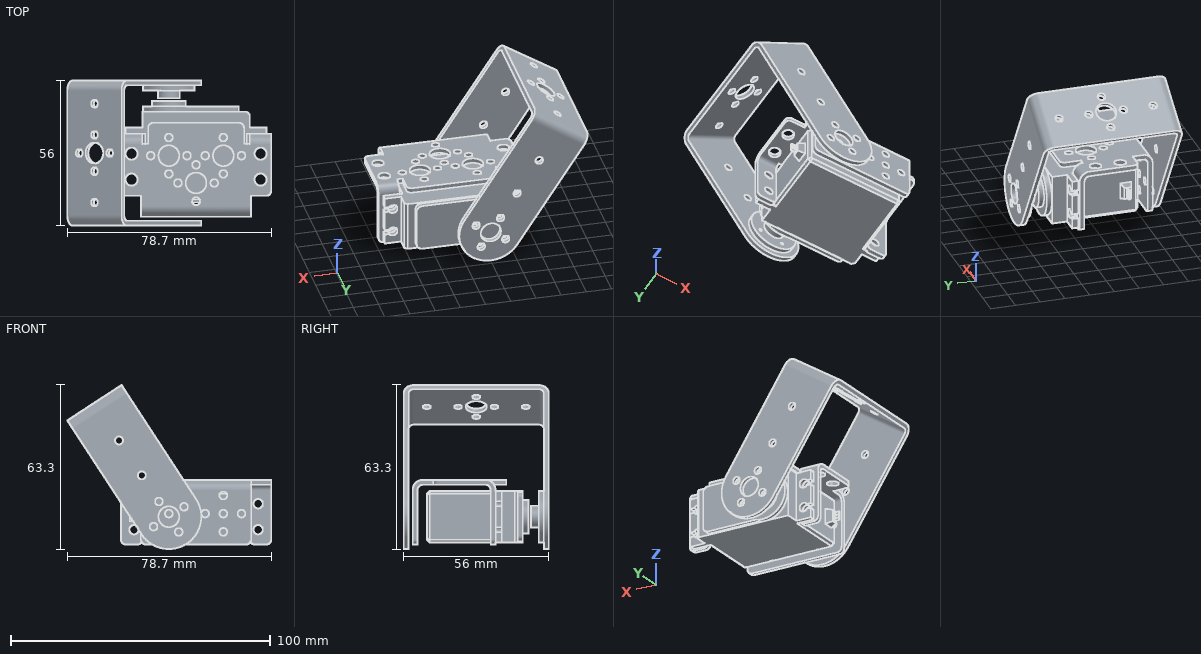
import cadquery as cq


sheet = 2.0
bend_outer = 2 * sheet
corner_radius = 2.0
small_hole = 3.0
ring_hole = 8.0
ring_offset = 7.0

swing_angle = 33.15
swing_width = 56.0
arm_radius = 12.5
arm_length = 52.5
arm_hole_heights = (19.05, 35.1)
web_outer_hole = 19.05
arm_outer_y = swing_width / 2
arm_inner_y = arm_outer_y - sheet

ring_spacing = 21.0
servo_x = ring_spacing / 2
servo_half_length = 20.7
servo_half_height = 10.0
servo_chamfer = 1.1
servo_end_y = -19.05
seat_y = 7.5
ear_thickness = 2.4
ear_half_length = 27.15
ear_hole_x = 23.9
ear_hole = 3.55
ear_slot = 2.0
screw_spacing = 10.0
case_top_y = 16.0
cover_thickness = 2.05
cover_end_x = 27.0
cover_half_height = 9.5
cover_corner_radius = 2.2
boss_radius = 6.5
boss_thickness = 2.1

connector_y = -13.8
connector_width = 4.4
connector_height = 6.45
connector_taper = 0.9
connector_length = 2.8
pin_diameter = 1.0
pin_spacing = 1.25
pin_count = 3
pin_tip_x = -15.1

horn_radius = servo_half_height
horn_thickness = 2.0
horn_shaft_radius = 4.25
horn_screw_hole = 1.0
horn_end_y = 21.1

mount_top_z = 14.25
mount_bottom_z = -10.8
mount_length = 58.0
mount_front_y = -24.55
mount_half_length = mount_length / 2
leg_half_width = 21.25
wing_end_y = -16.5
tongue_half_width = 18.5
tongue_end_y = 11.65
wing_hole = 4.6
wing_hole_x = 24.9
wing_hole_y = -0.2
top_ring_y = -1.0
leg_ring_z = 1.2


def cylinder_y(x, z, diameter, y_start, y_end):
    """Solid cylinder along Y between two Y positions."""
    plane = cq.Plane(origin=(x, y_start, z), xDir=(0, 0, 1), normal=(0, 1, 0))
    return cq.Workplane(plane).circle(diameter / 2).extrude(y_end - y_start)


def cylinder_z(x, y, diameter, z_start, z_end):
    """Solid cylinder along Z between two heights."""
    return cq.Workplane("XY", origin=(x, y, z_start)).circle(diameter / 2).extrude(z_end - z_start)


def box_between(x_range, y_range, z_range):
    """Axis-aligned box from its (start, end) pair on each axis."""
    sizes = [end - start for start, end in (x_range, y_range, z_range)]
    corner = (x_range[0], y_range[0], z_range[0])
    return cq.Workplane("XY").box(*sizes, centered=False).translate(corner)


def cross_points(u, v):
    """Four points at the ring offset around a centre."""
    return [(u - ring_offset, v), (u + ring_offset, v), (u, v - ring_offset), (u, v + ring_offset)]


def swing_to_place(body):
    """Turn a body from upright about the hinge axis."""
    return body.rotate((0, 0, 0), (0, 1, 0), -swing_angle)


def channel(y_start, y_end, z_low, z_top, x_start, x_end):
    """Bent sheet channel, open downwards, running along X."""

    def rounded_block(inset, radius):
        block = box_between((x_start, x_end), (y_start + inset, y_end - inset), (z_low, z_top - inset))
        return block.edges("|X and >Z").fillet(radius)

    return rounded_block(0, bend_outer).cut(rounded_block(sheet, bend_outer - sheet))


def make_swing_bracket():
    body = channel(-arm_outer_y, arm_outer_y, -arm_radius, arm_length, -arm_radius, arm_radius)
    span = (-arm_outer_y, arm_outer_y)
    straight_part = box_between((-arm_radius, arm_radius), span, (0, arm_length))
    rounded_outline = straight_part.union(cylinder_y(0, 0, 2 * arm_radius, *span))
    body = body.intersect(rounded_outline)

    body = body.cut(cylinder_y(0, 0, ring_hole, *span))
    for x, z in cross_points(0, 0) + [(0, height) for height in arm_hole_heights]:
        body = body.cut(cylinder_y(x, z, small_hole, *span))

    web = (arm_length - sheet, arm_length)
    body = body.cut(cylinder_z(0, 0, ring_hole, *web))
    for x, y in cross_points(0, 0) + [(0, -web_outer_hole), (0, web_outer_hole)]:
        body = body.cut(cylinder_z(x, y, small_hole, *web))
    return swing_to_place(body)


def make_horn():
    disc_y = arm_inner_y - horn_thickness
    disc = cylinder_y(0, 0, 2 * horn_radius, disc_y, arm_inner_y)
    shaft = cylinder_y(0, 0, 2 * horn_shaft_radius, horn_end_y, disc_y)
    for x, z in cross_points(0, 0):
        disc = disc.cut(cylinder_y(x, z, horn_screw_hole, disc_y, arm_inner_y))
    return swing_to_place(disc.union(shaft))


def make_mount():
    y_range = (mount_front_y, seat_y)
    x_range = (-mount_half_length, mount_half_length)
    z_range = (mount_bottom_z, mount_top_z)
    body = channel(*y_range, *z_range, *x_range)

    beyond_wings = (mount_front_y, wing_end_y)
    full_zone = box_between(x_range, beyond_wings, z_range)
    leg_zone = box_between((-leg_half_width, leg_half_width), beyond_wings, z_range)
    body = body.cut(full_zone.cut(leg_zone))

    bend_start_y = seat_y - bend_outer
    gap = box_between((-servo_half_length, servo_half_length), (bend_start_y, seat_y), z_range)
    plate = (mount_top_z - sheet, mount_top_z)
    tongue = box_between((-tongue_half_width, tongue_half_width), (bend_start_y, tongue_end_y), plate)
    tongue = tongue.edges("|Z and >Y").fillet(corner_radius)
    body = body.cut(gap).union(tongue)

    body = body.edges("|Y and <Z").fillet(corner_radius)
    wing_corners = body.edges("|Z").edges("<X or >X").edges("<Y")
    body = wing_corners.fillet(corner_radius)

    half_spacing = ring_spacing / 2
    rings = [(-half_spacing, top_ring_y), (half_spacing, top_ring_y), (0, top_ring_y - half_spacing)]
    for ring in rings:
        body = body.cut(cylinder_z(*ring, ring_hole, *plate))
        for point in cross_points(*ring):
            body = body.cut(cylinder_z(*point, small_hole, *plate))

    leg = (mount_front_y, mount_front_y + sheet)
    for ring_x in (-half_spacing, half_spacing):
        for point in cross_points(ring_x, leg_ring_z) + [(ring_x, leg_ring_z)]:
            body = body.cut(cylinder_y(*point, small_hole, *leg))

    tab = (seat_y - sheet, seat_y)
    for side in (-1, 1):
        for y in (wing_hole_y, wing_hole_y - screw_spacing):
            body = body.cut(cylinder_z(side * wing_hole_x, y, wing_hole, *plate))
        for z in (-screw_spacing / 2, screw_spacing / 2):
            body = body.cut(cylinder_y(side * ear_hole_x, z, ear_hole, *tab))
    return body.translate((servo_x, 0, 0))


def make_case():
    x_range = (-servo_half_length, servo_half_length)
    z_range = (-servo_half_height, servo_half_height)
    lower = box_between(x_range, (servo_end_y, seat_y), z_range)
    lower = lower.edges("|Y").chamfer(servo_chamfer).faces("<Y").edges().chamfer(servo_chamfer)
    upper = box_between(x_range, (seat_y, case_top_y), z_range)
    upper = upper.edges("|Z and >X and >Y").chamfer(servo_chamfer)

    ear_y = (seat_y, seat_y + ear_thickness)
    ears = box_between((-ear_half_length, ear_half_length), ear_y, z_range)
    for z in (-screw_spacing / 2, screw_spacing / 2):
        for side in (-1, 1):
            ears = ears.cut(cylinder_y(side * ear_hole_x, z, ear_hole, *ear_y))
            slot_x = sorted((side * ear_hole_x, side * ear_half_length))
            ears = ears.cut(box_between(slot_x, ear_y, (z - ear_slot / 2, z + ear_slot / 2)))
    return lower.union(upper).union(ears).translate((servo_x, 0, 0))


def make_cover():
    """Round plate about the hinge axis, running on as a slightly narrower round-cornered tail."""
    cover_y = (case_top_y, case_top_y + cover_thickness)
    tail = box_between((0, cover_end_x), cover_y, (-cover_half_height, cover_half_height))
    tail = tail.edges("|Y and >X").fillet(cover_corner_radius)
    return tail.union(cylinder_y(0, 0, 2 * servo_half_height, *cover_y))


def make_connector():
    """Tapered block on the -X face of the case."""
    base = cq.Plane(origin=(servo_x - servo_half_length, connector_y, 0), xDir=(0, -1, 0), normal=(-1, 0, 0))
    return (
        cq.Workplane(base)
        .rect(connector_width, connector_height)
        .workplane(offset=connector_length)
        .rect(connector_width - 2 * connector_taper, connector_height - 2 * connector_taper)
        .loft(ruled=True)
    )


def make_servo():
    boss_y = case_top_y + cover_thickness
    boss = cylinder_y(0, 0, 2 * boss_radius, boss_y, boss_y + boss_thickness)
    return make_case().union(make_cover()).union(boss).union(make_connector())


def make_pin(index):
    start_x = servo_x - servo_half_length - connector_length
    z = (index - (pin_count - 1) / 2) * pin_spacing
    plane = cq.Plane(origin=(start_x, connector_y, z), xDir=(0, -1, 0), normal=(-1, 0, 0))
    return cq.Workplane(plane).circle(pin_diameter / 2).extrude(start_x - pin_tip_x)


swing_bracket = make_swing_bracket()
horn = make_horn()
mount = make_mount()
servo = make_servo()
pins = [make_pin(index) for index in range(pin_count)]

result = cq.Compound.makeCompound(
    [swing_bracket.val(), horn.val(), mount.val(), servo.val(), *[pin.val() for pin in pins]]
)